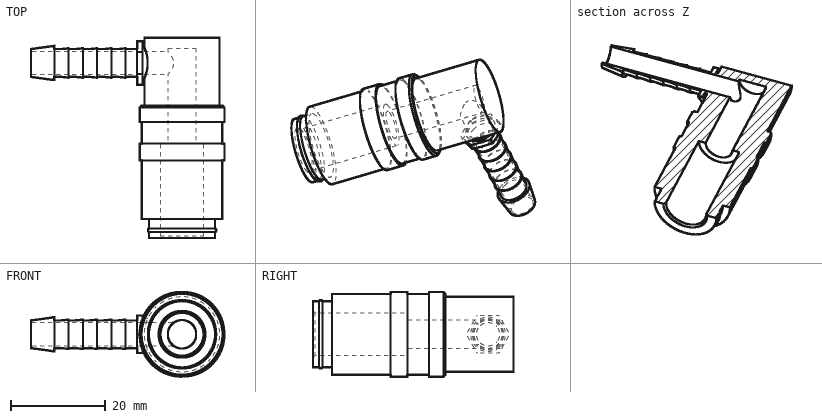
import cadquery as cq
import math

body_length = 42.5
rear_diameter = 16.0
sleeve_diameter = 17.15
collar_diameter = 18.0
neck_diameter = 14.02

sleeve_start = 14.45
sleeve_end = 38.5
rear_collar_end = 17.95
front_collar_start = 22.5
front_collar_end = 26.05
collar_chamfer = (collar_diameter - sleeve_diameter) / 2

ring_diameter = 14.55
ring_width = 0.75
ring_center = 40.85

mouth_bore_diameter = 9.1
mouth_chamfer = 0.42
mouth_chamfer_angle = 45
mouth_bore_depth = body_length - front_collar_start
inner_bore_diameter = 6.05

branch_center = 5.4
branch_reach = 32.0
branch_bore_diameter = 4.95
shank_diameter = 5.95
head_diameter = 7.3
head_length = 4.95
rib_diameter = 6.3
rib_length = 1.55
rib_pitch = 3.0
rib_count = 5

hex_across_flats = 8.0
hex_thickness = 1.2
hex_start = 22.5
stub_diameter = 6.65


def body_section(diameter, start, end):
    """Solid cylinder on the body axis between two distances from the rear face."""
    plane = cq.Workplane("XZ").workplane(offset=start)
    return plane.circle(diameter / 2).extrude(end - start)


def branch_section(start_diameter, end_diameter, start, length):
    """Round section on the branch axis, starting at a distance from the barb tip."""
    x_start = start - branch_reach
    x_end = x_start + length
    profile = (
        cq.Workplane("XY")
        .moveTo(x_start, 0)
        .lineTo(x_start, start_diameter / 2)
        .lineTo(x_end, end_diameter / 2)
        .lineTo(x_end, 0)
        .close()
    )
    section = profile.revolve(360, (0, 0, 0), (1, 0, 0))
    return section.translate((0, -branch_center, 0))


def make_body():
    rear_collar = body_section(collar_diameter, sleeve_start, rear_collar_end)
    rear_collar = rear_collar.faces(">Y").chamfer(collar_chamfer)
    return (
        body_section(rear_diameter, 0, sleeve_start)
        .union(body_section(sleeve_diameter, sleeve_start, sleeve_end))
        .union(rear_collar)
        .union(body_section(collar_diameter, front_collar_start, front_collar_end))
        .union(body_section(neck_diameter, sleeve_end, body_length))
        .union(make_snap_ring())
    )


def make_snap_ring():
    ring_section_radius = ring_width / 2
    ring_middle_radius = ring_diameter / 2 - ring_section_radius
    ring = cq.Workplane("XY").center(ring_middle_radius, -ring_center).circle(ring_section_radius)
    return ring.revolve(360, (-ring_middle_radius, 0, 0), (-ring_middle_radius, 1, 0))


def make_branch():
    branch = branch_section(shank_diameter, shank_diameter, 0, hex_start)
    branch = branch.union(branch_section(shank_diameter, head_diameter, 0, head_length))
    first_rib = head_length + rib_length
    for i in range(rib_count):
        rib_start = first_rib + i * rib_pitch
        branch = branch.union(branch_section(shank_diameter, rib_diameter, rib_start, rib_length))
    stub_length = branch_reach - hex_start - inner_bore_diameter / 2
    stub = branch_section(stub_diameter, stub_diameter, hex_start, stub_length)
    return branch.union(make_hexagon()).union(stub)


def make_hexagon():
    """Hexagon with two flats facing up and down, so its corners point along Y."""
    across_corners = hex_across_flats / math.cos(math.radians(30))
    plane = cq.Workplane("YZ", origin=(hex_start - branch_reach, -branch_center, 0))
    return plane.polygon(6, across_corners).extrude(hex_thickness)


def make_bores():
    """Chamfered mouth bore, narrower inner bore and the branch bore that meets it."""
    mouth_bore = body_section(mouth_bore_diameter, body_length - mouth_bore_depth, body_length)
    mouth_face = cq.Workplane("XZ").workplane(offset=body_length)
    flare_circle = mouth_face.circle(mouth_bore_diameter / 2 + mouth_chamfer)
    mouth_flare = flare_circle.extrude(-mouth_chamfer, taper=mouth_chamfer_angle)
    inner_bore_end = branch_center - inner_bore_diameter / 2
    inner_bore = body_section(inner_bore_diameter, inner_bore_end, body_length)
    branch_bore = branch_section(branch_bore_diameter, branch_bore_diameter, 0, branch_reach)
    return mouth_bore.union(mouth_flare).union(inner_bore).union(branch_bore)


result = make_body().union(make_branch()).cut(make_bores())